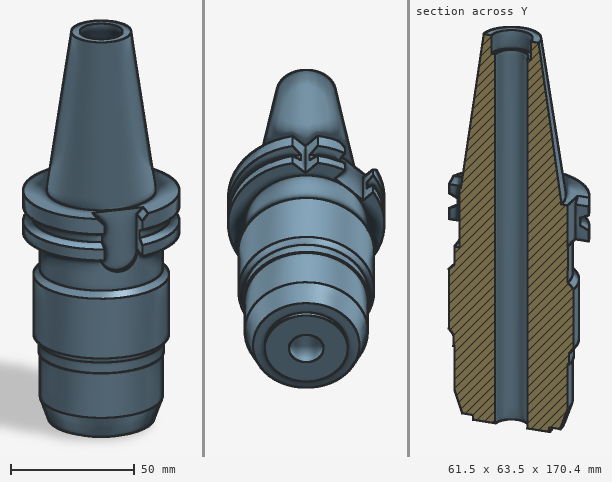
import cadquery as cq

total_length = 170.4
nose_rim_top = 2.0
nose_cone_top = 11.6
nose_top = 31.2
sleeve_bottom = 38.5
sleeve_top = 64.5
sleeve_chamfer = 2.5
flange_bottom = 83.0
flange_top = 101.0
gauge_line = 102.0

nose_rim_radius = 16.9
nose_tip_radius = 21.6
body_radius = 25.0
collar_radius = 25.5
sleeve_radius = 27.6
flange_diameter = 63.5
flange_radius = flange_diameter / 2
gauge_radius = 22.2
taper_ratio = 7 / 24
taper_tip_radius = gauge_radius - (total_length - gauge_line) * taper_ratio / 2

groove_root_radius = 28.1
groove_lower_edge = 87.8
groove_upper_edge = 94.4
groove_wall_rise = 1.7

bore_radius = 7.0
counterbore_radius = 8.7
counterbore_depth = 8.0

slot_width = 16.0
slot_chamfer = 2.7
left_slot_floor = 24.9
right_slot_floor = 22.8

notch_offset = 18.5


def turned_body():
    """Holder revolved about Z, from the nose up to the taper end."""
    profile = [
        (0, 0),
        (nose_rim_radius, 0),
        (nose_rim_radius, nose_rim_top),
        (nose_tip_radius, nose_rim_top),
        (body_radius, nose_cone_top),
        (body_radius, nose_top),
        (collar_radius, nose_top),
        (collar_radius, sleeve_bottom - sleeve_chamfer),
        (sleeve_radius, sleeve_bottom),
        (sleeve_radius, sleeve_top),
        (body_radius, sleeve_top + sleeve_chamfer),
        (body_radius, flange_bottom),
        (flange_radius, flange_bottom),
        (flange_radius, groove_lower_edge),
        (groove_root_radius, groove_lower_edge + groove_wall_rise),
        (groove_root_radius, groove_upper_edge - groove_wall_rise),
        (flange_radius, groove_upper_edge),
        (flange_radius, flange_top),
        (gauge_radius, flange_top),
        (gauge_radius, gauge_line),
        (taper_tip_radius, total_length),
        (0, total_length),
    ]
    return cq.Workplane("XZ").polyline(profile).close().revolve(360, (0, 0), (0, 1))


def bore():
    """Through bore with a counterbore at the taper end."""
    through = cq.Workplane("XY").circle(bore_radius).extrude(total_length)
    counterbore = (
        cq.Workplane("XY", origin=(0, 0, total_length - counterbore_depth))
        .circle(counterbore_radius)
        .extrude(counterbore_depth)
    )
    return through.union(counterbore)


def drive_slot(side, floor):
    """Slot through the flange on the +X (side=1) or -X (side=-1) side, its mouth chamfered at the top."""
    half = slot_width / 2
    outline = [
        (-half, flange_bottom),
        (half, flange_bottom),
        (half, flange_top - slot_chamfer),
        (half + slot_chamfer, flange_top),
        (-half - slot_chamfer, flange_top),
        (-half, flange_top - slot_chamfer),
    ]
    slot = cq.Workplane("YZ").polyline(outline).close().extrude(side * flange_radius)
    keep = cq.Workplane("XY").box(2 * floor, 2 * flange_radius, 2 * total_length)
    return slot.cut(keep)


def slot_round_end():
    """Semicircular end of the deeper +X slot, milled into the neck below the flange."""
    return (
        cq.Workplane("YZ", origin=(right_slot_floor, 0, flange_bottom))
        .circle(slot_width / 2)
        .extrude(body_radius - right_slot_floor)
    )


def corner_notch():
    """Square notch through the flange at its -X, +Y corner."""
    size = flange_radius - notch_offset
    return (
        cq.Workplane("XY", origin=(-notch_offset, notch_offset, flange_bottom))
        .rect(-size, size, centered=False)
        .extrude(flange_top - flange_bottom)
    )


result = turned_body().cut(bore())
result = result.cut(drive_slot(-1, left_slot_floor))
result = result.cut(drive_slot(1, right_slot_floor))
result = result.cut(slot_round_end())
result = result.cut(corner_notch())